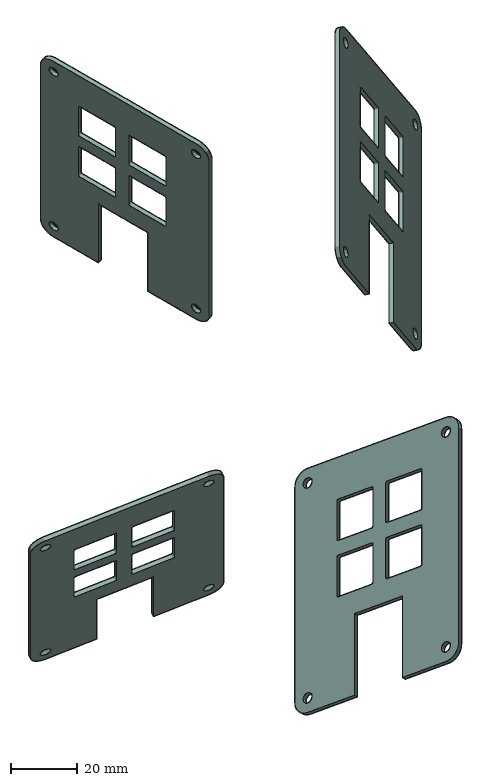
import cadquery as cq

plate_width = 63.8
plate_height = 82.9
plate_thickness = 1.5
corner_radius = 5.0

screw_hole_diameter = 3.4
screw_spacing_x = plate_width - 2 * corner_radius
screw_spacing_z = plate_height - 2 * corner_radius

window_size = 14.0
window_corner_radius = 0.5
window_pitch = 19.1
windows_per_side = 2
window_grid_x = -1.0
window_grid_z = 10.6

notch_width = 18.65
notch_depth = 27.7
notch_x = -0.7


def extrude_through(sketch):
    """Extrude a sketch over the plate thickness, centred on the XZ plane."""
    return sketch.extrude(plate_thickness / 2, both=True)


def make_plate():
    outline = cq.Workplane("XZ").rect(plate_width, plate_height)
    return extrude_through(outline).edges("|Y").fillet(corner_radius)


def make_screw_holes():
    centres = cq.Workplane("XZ").rect(screw_spacing_x, screw_spacing_z, forConstruction=True).vertices()
    return extrude_through(centres.circle(screw_hole_diameter / 2))


def make_windows():
    centres = (
        cq.Workplane("XZ")
        .center(window_grid_x, window_grid_z)
        .rarray(window_pitch, window_pitch, windows_per_side, windows_per_side)
    )
    return extrude_through(centres.rect(window_size, window_size)).edges("|Y").fillet(window_corner_radius)


def make_notch():
    notch_z = (notch_depth - plate_height) / 2
    return extrude_through(cq.Workplane("XZ").center(notch_x, notch_z).rect(notch_width, notch_depth))


result = make_plate().cut(make_screw_holes()).cut(make_windows()).cut(make_notch())